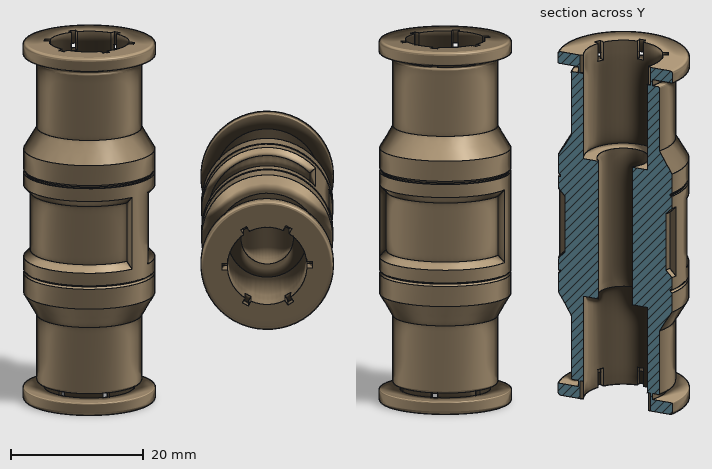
import cadquery as cq

total_length = 55.8
end_z = total_length / 2

flange_diameter = 20.0
flange_thickness = 2.0
flange_outer_fillet = 0.5
flange_inner_fillet = 0.2
neck_diameter = 13.65
neck_length = 0.9
slot_count = 6
slot_width = 1.0

barrel_diameter = 15.84
barrel_length = 10.4
barrel_fillet = 0.3
cone_length = 3.4
collar_diameter = 19.8
collar_length = 3.4
collar_chamfer = 0.3

groove_diameter = collar_diameter - 2 * collar_chamfer
groove_width = 0.2
centre_diameter = collar_diameter
centre_rim_length = 2.0
recess_diameter = 17.82
recess_slope_length = 1.05
rib_width = 3.9

socket_diameter = 12.0
through_diameter = 7.9

flange_base_z = end_z - flange_thickness
barrel_top_z = flange_base_z - neck_length
cone_top_z = barrel_top_z - barrel_length
collar_top_z = cone_top_z - cone_length
collar_base_z = collar_top_z - collar_length
centre_top_z = collar_base_z - groove_width
recess_top_z = centre_top_z - centre_rim_length
recess_floor_top_z = recess_top_z - recess_slope_length
socket_floor_z = collar_top_z


def cylinder(diameter, bottom_z, top_z):
    """Cylinder on the Z axis between two heights."""
    return cq.Workplane("XY").workplane(offset=bottom_z).circle(diameter / 2).extrude(top_z - bottom_z)


def make_release_ring():
    """Upper flange with its neck."""
    flange = cylinder(flange_diameter, flange_base_z, end_z)
    flange = flange.faces(">Z").edges().fillet(flange_outer_fillet)
    flange = flange.faces("<Z").edges().fillet(flange_inner_fillet)
    return flange.union(cylinder(neck_diameter, barrel_top_z, flange_base_z))


def make_outer_body():
    """Upper barrel, cone and collar, with the groove floor below the collar."""
    barrel = cylinder(barrel_diameter, cone_top_z, barrel_top_z).faces(">Z").edges().fillet(barrel_fillet)
    cone = (
        cq.Workplane("XY")
        .workplane(offset=collar_top_z)
        .circle(collar_diameter / 2)
        .workplane(offset=cone_length)
        .circle(barrel_diameter / 2)
        .loft(ruled=True)
    )
    collar = cylinder(collar_diameter, collar_base_z, collar_top_z)
    collar = collar.faces("<Z").edges().chamfer(collar_chamfer)
    groove_floor = cylinder(groove_diameter, centre_top_z, collar_base_z)
    return barrel.union(cone).union(collar).union(groove_floor)


def make_end_cuts():
    """Upper socket and the slots that open it through the flange and neck."""
    cuts = cylinder(socket_diameter, socket_floor_z, end_z)
    slot_reach = neck_diameter / 2
    slot = (
        cq.Workplane("XY")
        .workplane(offset=barrel_top_z)
        .center(slot_reach / 2, 0)
        .rect(slot_reach, slot_width)
        .extrude(end_z - barrel_top_z)
    )
    first_angle = 90
    for index in range(slot_count):
        angle = first_angle + index * 360 / slot_count
        cuts = cuts.union(slot.rotate((0, 0, 0), (0, 0, 1), angle))
    return cuts


def make_recess():
    """Ring-shaped recess with sloped ends, interrupted by a rib on the -X and +X sides."""
    floor_radius = recess_diameter / 2
    outer_radius = centre_diameter / 2
    ring = (
        cq.Workplane("XZ")
        .polyline(
            [
                (floor_radius, -recess_floor_top_z),
                (outer_radius, -recess_top_z),
                (outer_radius, recess_top_z),
                (floor_radius, recess_floor_top_z),
            ]
        )
        .close()
        .revolve(360, (0, 0, 0), (0, 1, 0))
    )
    ribs = cq.Workplane("XY").box(centre_diameter, rib_width, 2 * recess_top_z)
    return ring.cut(ribs)


def mirror_to_lower(upper):
    """Copy of an upper-half shape on the lower half."""
    return upper.mirror("XY")


centre = cylinder(centre_diameter, -centre_top_z, centre_top_z).cut(make_recess())
upper_end = make_outer_body().union(make_release_ring())
result = centre.union(upper_end).union(mirror_to_lower(upper_end))

end_cuts = make_end_cuts()
result = result.cut(end_cuts).cut(mirror_to_lower(end_cuts))
result = result.cut(cylinder(through_diameter, -end_z, end_z))